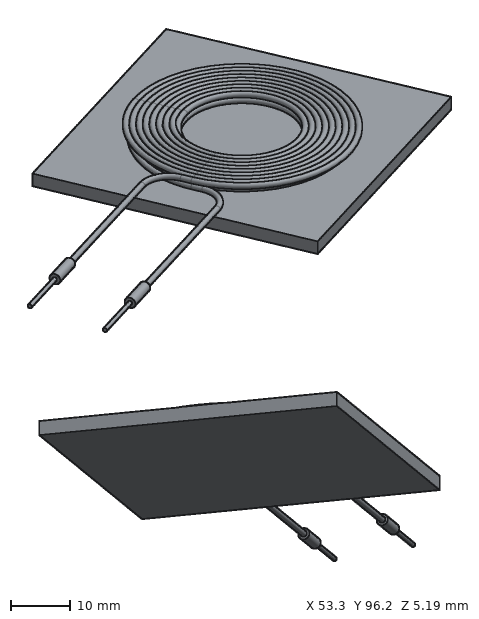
import cadquery as cq
import math

plate_side = 53.3
plate_thickness = 2.5
overall_length = 96.15

upper_turns = 9
lower_turns = upper_turns - 1
winding_width = 10.2
outer_radius = 20.4
turn_gap = 0.02
pitch = (winding_width + turn_gap) / upper_turns
wire_diameter = pitch - turn_gap
wire_radius = wire_diameter / 2
first_radius = outer_radius - winding_width + wire_radius
exit_radius = outer_radius - wire_radius
lower_z = plate_thickness + wire_radius
upper_z = lower_z + pitch

exit_straight = 2.0
bend_radius = 5.0
lead_x = exit_straight + bend_radius
bend_end_y = -exit_radius - bend_radius
lead_tip_y = plate_side / 2 - overall_length
ferrule_diameter = 2.0
ferrule_length = 6.0
tip_diameter = 0.8
tip_length = 10.0
ferrule_end_y = lead_tip_y + tip_length
ferrule_start_y = ferrule_end_y + ferrule_length


def turn_radius(turn):
    """Centreline radius of a turn, counted from the innermost one."""
    return first_radius + turn * pitch


def three_quarter_turn(radius, z):
    """Circular run from the -Y side counter-clockwise round to the -X side."""
    diagonal = radius * math.sqrt(0.5)
    return cq.Edge.makeThreePointArc(
        cq.Vector(0, -radius, z), cq.Vector(diagonal, diagonal, z), cq.Vector(-radius, 0, z)
    )


def crossover(side_radius, front_radius, z):
    """Elliptical quarter from the -X side to the -Y side that moves on to the next turn."""
    centre = cq.Vector(0, 0, z)
    up = cq.Vector(0, 0, 1)
    if side_radius > front_radius:
        return cq.Edge.makeEllipse(
            side_radius, front_radius, centre, up, cq.Vector(1, 0, 0), 180, 270
        )
    return cq.Edge.makeEllipse(
        front_radius, side_radius, centre, up, cq.Vector(0, 1, 0), 90, 180
    )


def lead_edges(side, z):
    """Straight run, bend and straight lead; side is -1 for the -X lead and 1 for the +X lead."""
    winding_end = cq.Vector(0, -exit_radius, z)
    bend_start = cq.Vector(side * exit_straight, -exit_radius, z)
    bend_end = cq.Vector(side * lead_x, bend_end_y, z)
    ferrule_start = cq.Vector(side * lead_x, ferrule_start_y, z)
    return [
        cq.Edge.makeLine(winding_end, bend_start),
        cq.Edge.makeTangentArc(bend_start, cq.Vector(side, 0, 0), bend_end),
        cq.Edge.makeLine(bend_end, ferrule_start),
    ]


def round_wire(edges, start, direction):
    """Round wire swept along joined edges from the start point."""
    path = cq.Wire.assembleEdges(edges)
    section = cq.Workplane(cq.Plane(origin=start, normal=direction)).circle(wire_radius)
    return section.sweep(cq.Workplane(path))


def lead_end(side, z):
    """Ferrule and bare tip at the end of a lead."""
    ferrule_face = cq.Plane(
        origin=(side * lead_x, ferrule_start_y, z), xDir=(1, 0, 0), normal=(0, -1, 0)
    )
    ferrule = cq.Workplane(ferrule_face).circle(ferrule_diameter / 2).extrude(ferrule_length)
    return ferrule.faces("<Y").workplane().circle(tip_diameter / 2).extrude(tip_length)


def upper_layer():
    """Upper winding, laid from the innermost turn outwards, with the -X lead."""
    edges = []
    for turn in range(upper_turns):
        edges.append(three_quarter_turn(turn_radius(turn), upper_z))
        if turn < upper_turns - 1:
            edges.append(crossover(turn_radius(turn + 1), turn_radius(turn), upper_z))
    edges += lead_edges(-1, upper_z)
    wire = round_wire(edges, (-first_radius, 0, upper_z), (0, 1, 0))
    return wire.union(lead_end(-1, upper_z))


def lower_layer():
    """Lower winding, laid from the innermost turn outwards, with the +X lead."""
    edges = []
    for turn in range(lower_turns):
        edges.append(three_quarter_turn(turn_radius(turn), lower_z))
        edges.append(crossover(turn_radius(turn), turn_radius(turn + 1), lower_z))
    edges += lead_edges(1, lower_z)
    wire = round_wire(edges, (0, -first_radius, lower_z), (1, 0, 0))
    return wire.union(lead_end(1, lower_z))


def layer_drop():
    """Quarter turn that takes the innermost wire from the upper layer down to the lower one."""
    start = cq.Vector(-first_radius, 0, upper_z)
    diagonal = first_radius * math.sqrt(0.5)
    middle = cq.Vector(-diagonal, -diagonal, (upper_z + lower_z) / 2)
    end = cq.Vector(0, -first_radius, lower_z)
    path = cq.Edge.makeSpline(
        [start, middle, end], tangents=[cq.Vector(0, -1, 0), cq.Vector(1, 0, 0)]
    )
    return round_wire([path], start.toTuple(), (0, -1, 0))


plate = cq.Workplane("XY").box(
    plate_side, plate_side, plate_thickness, centered=(True, True, False)
)
coil = upper_layer().union(layer_drop()).union(lower_layer())

result = cq.Compound.makeCompound([plate.val(), coil.solids().val()])